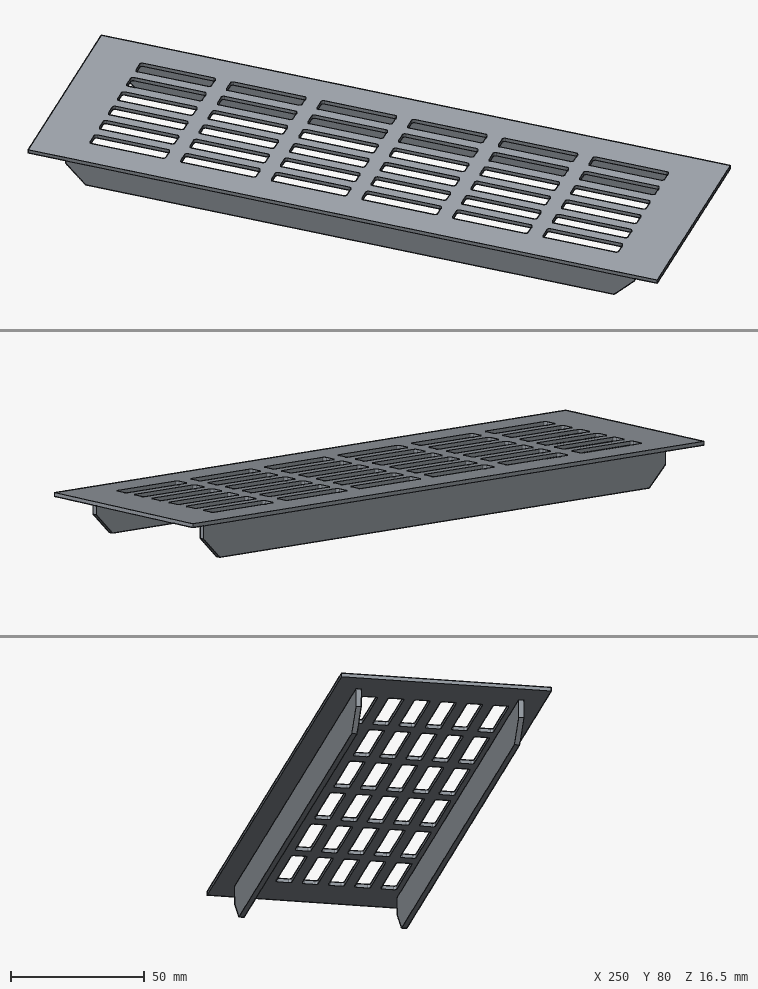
import cadquery as cq

plate_length = 250.0
plate_width = 80.0
plate_thickness = 1.5
total_height = 16.5

flange_length = 226.0
flange_thickness = 2.0
flange_outer_spacing = 64.0
flange_height = total_height - plate_thickness
corner_cut = 8.0

slot_columns = 6
slot_rows = 6
slot_length = 30.0
slot_width = 6.0
slot_corner_radius = 1.0
column_pitch = 36.0
row_pitch = 10.0


def make_plate():
    """Flat cover plate with its underside at Z = 0."""
    return cq.Workplane("XY").box(
        plate_length, plate_width, plate_thickness, centered=(True, True, False)
    )


def make_slots():
    """Round-cornered cutters for every slot in the grid."""
    return (
        cq.Workplane("XY")
        .rarray(column_pitch, row_pitch, slot_columns, slot_rows)
        .rect(slot_length, slot_width)
        .extrude(plate_thickness)
        .edges("|Z")
        .fillet(slot_corner_radius)
    )


def make_flange(side):
    """Upright flange under the plate at the -Y (side = -1) or +Y (side = 1) edge."""
    center_y = side * (flange_outer_spacing - flange_thickness) / 2
    block = cq.Workplane("XY").box(flange_length, flange_thickness, flange_height)
    trimmed = block.faces("<Z").edges("|Y").chamfer(corner_cut)
    return trimmed.translate((0, center_y, -flange_height / 2))


result = make_plate().cut(make_slots())
for side in (-1, 1):
    result = result.union(make_flange(side))